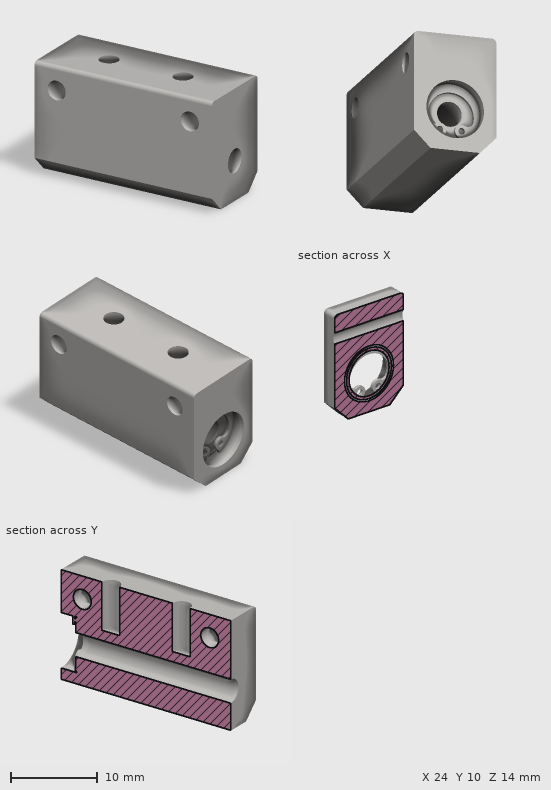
import cadquery as cq
import math

length = 24.0
width = 10.0
height = 14.0
bottom_chamfer = 2.0
top_edge_radius = 0.5

mount_hole_diameter = 2.45
mount_hole_inset = 3.0
port_diameter = 2.45
port_spacing = 9.98

bore_height = 5.0
bore_diameter = 7.0
through_diameter = 3.0
sleeve_diameter = 5.7
ring_depth = 1.58
ring_thickness = 0.4
sleeve_face_step = 0.07
bushing_chamfer = 0.22

opening_radius = 2.8
opening_drop = 0.34
horn_radius = 0.75
lug_radius = 0.8
lug_hole_diameter = 0.8
lug_offset = 1.32
lug_drop = 2.06
lug_end_angle = -45.0
lug_flare_length = 0.4
gap_edge_offset = 1.18

left_face = -length / 2
bore_radius = bore_diameter / 2
seat_depth = ring_depth + ring_thickness


def end_plane(depth):
    """YZ plane on the bore axis, at a depth behind the left face."""
    return cq.Workplane("YZ", origin=(left_face + depth, 0, bore_height))


def point_toward(start, target, distance):
    """Point at a distance from start, in the direction of target."""
    span = math.dist(start, target)
    return tuple(a + (b - a) * distance / span for a, b in zip(start, target))


def polar(center, radius, angle):
    """Point on a circle at an angle in degrees."""
    turn = math.radians(angle)
    return (center[0] + radius * math.cos(turn), center[1] + radius * math.sin(turn))


def mirrored(point):
    return (-point[0], point[1])


def angle_from(center, point):
    return math.degrees(math.atan2(point[1] - center[1], point[0] - center[0]))


def horn_center(opening_center, lug_center):
    """Center of the arc tangent inside the opening arc and outside the lug."""
    to_opening = opening_radius - horn_radius
    to_lug = horn_radius + lug_radius
    span = math.dist(opening_center, lug_center)
    along = (to_opening**2 - to_lug**2 + span**2) / (2 * span)
    aside = math.sqrt(to_opening**2 - along**2)
    dx = (lug_center[0] - opening_center[0]) / span
    dy = (lug_center[1] - opening_center[1]) / span
    return (
        opening_center[0] + along * dx - aside * dy,
        opening_center[1] + along * dy + aside * dx,
    )


def ring_cutout():
    """Opening and gap between the ring lugs, with arcs tangent to each other."""
    opening_center = (0, -opening_drop)
    lug = (-lug_offset, -lug_drop)
    horn = mirrored(horn_center(opening_center, mirrored(lug)))

    horn_start = point_toward(opening_center, horn, opening_radius)
    lug_start = point_toward(lug, horn, lug_radius)
    lug_end = polar(lug, lug_radius, lug_end_angle)
    lug_middle = polar(lug, lug_radius, (angle_from(lug, lug_start) + lug_end_angle) / 2)
    horn_turn = (angle_from(horn, horn_start) % 360 + angle_from(horn, lug_start) % 360) / 2
    horn_middle = polar(horn, horn_radius, horn_turn)
    flare_end = polar(lug_end, lug_flare_length, lug_end_angle - 90)
    gap_edge = (-gap_edge_offset, -math.sqrt(bore_radius**2 - gap_edge_offset**2))

    outline = (
        end_plane(ring_depth)
        .moveTo(*horn_start)
        .threePointArc((0, opening_radius - opening_drop), mirrored(horn_start))
        .threePointArc(mirrored(horn_middle), mirrored(lug_start))
        .threePointArc(mirrored(lug_middle), mirrored(lug_end))
        .lineTo(*mirrored(flare_end))
        .lineTo(*mirrored(gap_edge))
        .threePointArc((0, -bore_radius), gap_edge)
        .lineTo(*flare_end)
        .lineTo(*lug_end)
        .threePointArc(lug_middle, lug_start)
        .threePointArc(horn_middle, horn_start)
        .close()
    )
    return outline.extrude(ring_thickness)


def lug_holes():
    lugs = [(-lug_offset, -lug_drop), (lug_offset, -lug_drop)]
    return end_plane(ring_depth).pushPoints(lugs).circle(lug_hole_diameter / 2).extrude(ring_thickness)


def retaining_ring():
    """Ring that fills the bore, open in the middle and between its lugs."""
    disc = end_plane(ring_depth).circle(bore_radius).extrude(ring_thickness)
    return disc.cut(ring_cutout()).cut(lug_holes())


def bushing_nose():
    """Beveled bushing face behind the ring, with a shallow step at the sleeve."""
    nose = (
        end_plane(seat_depth)
        .circle(bore_radius - bushing_chamfer)
        .workplane(offset=bushing_chamfer)
        .circle(bore_radius)
        .loft()
    )
    step = end_plane(seat_depth).circle(sleeve_diameter / 2).extrude(sleeve_face_step)
    return nose.cut(step)


def ports():
    """Ports that end on the outside of the sleeve around the bore."""
    centers = [(-port_spacing / 2, 0), (port_spacing / 2, 0)]
    drills = (
        cq.Workplane("XY", origin=(0, 0, bore_height))
        .pushPoints(centers)
        .circle(port_diameter / 2)
        .extrude(height - bore_height)
    )
    sleeve = end_plane(0).circle(sleeve_diameter / 2).extrude(length)
    return drills.cut(sleeve)


def mount_holes():
    across = length / 2 - mount_hole_inset
    level = height - mount_hole_inset
    return (
        cq.Workplane("XZ")
        .pushPoints([(-across, level), (across, level)])
        .circle(mount_hole_diameter / 2)
        .extrude(width / 2, both=True)
    )


block = cq.Workplane("XY").box(length, width, height, centered=(True, True, False))
block = block.edges("|X and <Z").chamfer(bottom_chamfer)
block = block.edges("|X and >Z").fillet(top_edge_radius)

bore = end_plane(0).circle(bore_radius).extrude(seat_depth + bushing_chamfer)
through_bore = end_plane(0).circle(through_diameter / 2).extrude(length)

result = block.cut(bore).union(bushing_nose()).union(retaining_ring())
result = result.cut(through_bore).cut(ports()).cut(mount_holes())